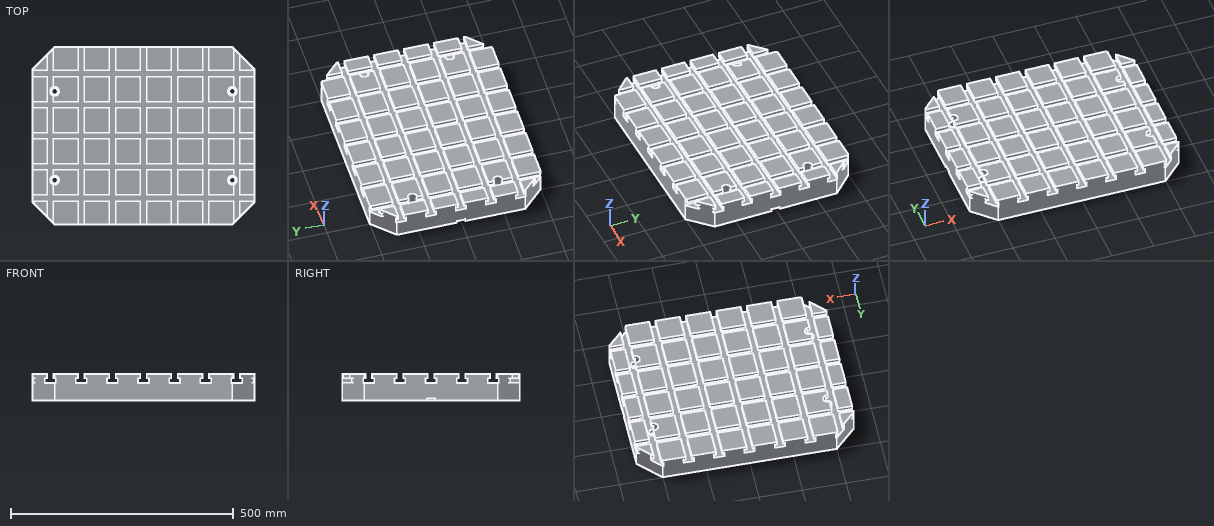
import cadquery as cq

length = 500.0
width = 400.0
height = 60.0
corner_chamfer = 50.0

slot_pitch = 70.0
slots_across_length = 7
slots_across_width = 5
neck_width = 14.0
neck_depth = 10.0
undercut_width = 24.0
slot_depth = 20.0

hole_spacing_x = 400.0
hole_spacing_y = 200.0
hole_diameter = 14.0
counterbore_diameter = 20.0
counterbore_depth = 35.0

notch_width = 20.0
notch_height = 5.0
notch_length = 40.0


def make_plate():
    """Rectangular plate with its underside at Z = 0 and its vertical corners cut at 45 degrees."""
    plate = cq.Workplane("XY").box(length, width, height, centered=(True, True, False))
    return plate.edges("|Z").chamfer(corner_chamfer)


def slot_positions(count):
    """Slot centres at an even pitch, centred on the origin."""
    return [(i - (count - 1) / 2) * slot_pitch for i in range(count)]


def make_t_slot(run):
    """T-slot cutter running along Y, centred on the origin and open at the top face."""
    neck = (
        cq.Workplane("XY", origin=(0, 0, height - slot_depth))
        .box(neck_width, run, slot_depth, centered=(True, True, False))
    )
    undercut = (
        cq.Workplane("XY", origin=(0, 0, height - slot_depth))
        .box(undercut_width, run, slot_depth - neck_depth, centered=(True, True, False))
    )
    return neck.union(undercut)


def cut_t_slots(body):
    """Cross the top face with T-slots in both directions."""
    slot_along_y = make_t_slot(width)
    for x in slot_positions(slots_across_length):
        body = body.cut(slot_along_y.translate((x, 0, 0)))
    slot_along_x = make_t_slot(length).rotate((0, 0, 0), (0, 0, 1), 90)
    for y in slot_positions(slots_across_width):
        body = body.cut(slot_along_x.translate((0, y, 0)))
    return body


def cut_mounting_holes(body):
    """Four through holes, each counterbored from the top."""
    return (
        body.copyWorkplane(cq.Workplane("XY", origin=(0, 0, height)))
        .rarray(hole_spacing_x, hole_spacing_y, 2, 2)
        .cboreHole(hole_diameter, counterbore_diameter, counterbore_depth)
    )


def cut_key_notches(body):
    """One notch at the middle of each end, running inwards along the underside."""
    notch_spacing = length - notch_length
    notches = (
        cq.Workplane("XY")
        .rarray(notch_spacing, 5, 2, 1)
        .rect(notch_length, notch_width)
        .extrude(notch_height)
    )
    return body.cut(notches)


result = make_plate()
result = cut_t_slots(result)
result = cut_mounting_holes(result)
result = cut_key_notches(result)